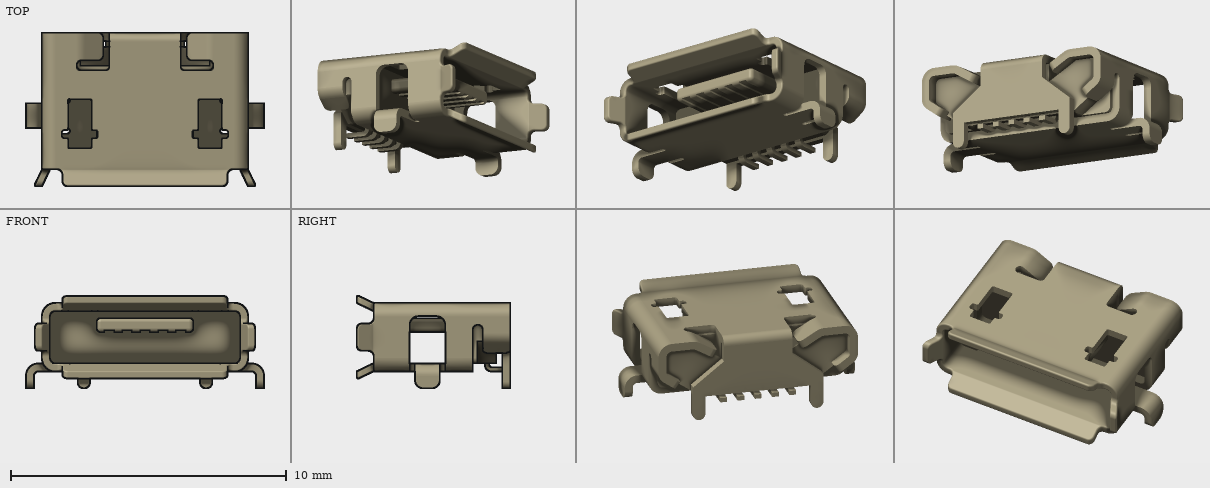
import cadquery as cq
import math


SHELL_WIDTH = 7.5
SHELL_HEIGHT = 2.5
SHEET = 0.3
CORNER_RADIUS = 0.5
HALF_WIDTH = SHELL_WIDTH / 2
MID_HEIGHT = SHELL_HEIGHT / 2
REAR_CUT_DEPTH = 1.365
MOUTH_DEPTH = 4.96
TOTAL_DEPTH = 5.58

LIP_RISE = 0.3
LIP_RADIUS = 0.2
LIP_BEND_RADIUS = 0.1
TOP_LIP_WIDTH = 6.0
SIDE_LIP_WIDTH = 1.0
MOUTH_EDGE_RADIUS = 0.06

ROOF_HOLE_INNER = 1.94
ROOF_HOLE_OUTER = 2.79
ROOF_HOLE_START = 2.41
ROOF_HOLE_END = 4.2
EAR_LENGTH = 0.23
EAR_START = 3.535
EAR_END = 3.83
EAR_RADIUS = 0.1
ROOF_HOLE_RADIUS = 0.06
EAR_ROOT_RADIUS = 0.05
ROOF_NOTCH_INNER = 1.29
ROOF_NOTCH_OUTER = 2.48
ROOF_NOTCH_RADIUS = 0.15

FLAP_DEPTH = 1.0
FLAP_CORNER_RADIUS = 0.2
ROOF_FLAP_ANGLE = 30
ROOF_FLAP_BEND_RADIUS = 0.57
ROOF_FLAP_LENGTH = 0.785
SIDE_FLAP_ANGLE = 55
SIDE_FLAP_BEND_RADIUS = 0.44
SIDE_FLAP_LENGTH = 0.61
SIDE_FLAP_TOP = 1.38
SIDE_SLOT_TOP = 1.7

WINDOW_START = 2.36
WINDOW_END = 3.66
WINDOW_TOP = 2.01
WINDOW_RADIUS = 0.33
LEG_WIDTH = 0.91
LEG_SPAN = 8.65
LEG_BEND_RADIUS = 0.45
LEG_END_RADIUS = 0.3
FOOT_BOTTOM = -0.61
LEG_SLOT_INNER = 2.73

PLATE_BOTTOM = SHEET
PLATE_BEND_RADIUS = 0.31
SHOULDER_HEIGHT = 0.7
SHOULDER_TOP = 1.6
PEG_CENTER = 2.22
PEG_WIDTH = 0.46

HOUSING_REAR = 0.51
HOUSING_FRONT = 2.0
FLAP_POCKET_DEPTH = 1.2
ROOF_POCKET_OUTER = 2.35
ROOF_POCKET_DROP = 0.05
SIDE_POCKET_TOP = 1.11
TONGUE_WIDTH = 3.51
TONGUE_BOTTOM = 1.43
TONGUE_TOP = 1.946
TONGUE_FRONT = 4.2
TONGUE_RADIUS = 0.15

CONTACT_COUNT = 5
CONTACT_PITCH = 0.65
GROOVE_WIDTH = 0.35
GROOVE_HEIGHT = 0.07
TAIL_WIDTH = 0.25
TAIL_SHEET = 0.165
TAIL_BEND_RADIUS = 0.25
TAIL_FRONT = 0.93

FLAP_LEAD = 0.1
CLEARANCE = 0.5
OVERLAP = 0.1
FULL_ROUND_GAP = 0.001


def block(x0, x1, depth0, depth1, z0, z1):
    """Box between two X, two depth and two Z positions."""
    size = (x1 - x0, depth1 - depth0, z1 - z0)
    return cq.Workplane("XY").box(*size, centered=False).translate((x0, -depth1, z0))


def extrude_along_depth(profile, depth0, depth1):
    """Extrude an XZ profile between two depths."""
    return profile.extrude(depth1 - depth0).translate((0, -depth0, 0))


def on_both_sides(solid):
    """The solid together with its mirror image across X = 0."""
    return solid.union(solid.mirror("YZ"))


def bent_strip(root, along, outward, sheet, radius, angle, length, lead, plane="XZ"):
    """Profile of a strip with one bend.

    The strip's outer surface starts at root, heads in direction `along` for
    `lead`, turns away from `outward` through `angle` at outer `radius` and
    continues straight for `length`. Points are in the axes of `plane`.
    """
    sine = math.sin(math.radians(angle))
    cosine = math.cos(math.radians(angle))
    half_sine = math.sin(math.radians(angle / 2))
    half_cosine = math.cos(math.radians(angle / 2))
    inner = radius - sheet

    def place(u, v):
        return (root[0] + u * along[0] + v * outward[0], root[1] + u * along[1] + v * outward[1])

    def on_bend(arc_radius, s, c, extra=0.0):
        return place(lead + arc_radius * s + extra * cosine, arc_radius * c - radius - extra * sine)

    return (
        cq.Workplane(plane)
        .moveTo(*place(0, 0))
        .lineTo(*place(lead, 0))
        .threePointArc(on_bend(radius, half_sine, half_cosine), on_bend(radius, sine, cosine))
        .lineTo(*on_bend(radius, sine, cosine, length))
        .lineTo(*on_bend(inner, sine, cosine, length))
        .lineTo(*on_bend(inner, sine, cosine))
        .threePointArc(on_bend(inner, half_sine, half_cosine), place(lead, -sheet))
        .lineTo(*place(0, -sheet))
        .close()
    )


def round_free_end(strip, direction, radius):
    """Round the two corners of the strip end that faces `direction`."""
    end = strip.faces(cq.DirectionMinMaxSelector(cq.Vector(*direction), True))
    return end.edges("not |Y").fillet(radius)


def make_tube():
    def section(inset):
        return (
            cq.Workplane("XZ")
            .center(0, MID_HEIGHT)
            .rect(SHELL_WIDTH - 2 * inset, SHELL_HEIGHT - 2 * inset)
            .extrude(MOUTH_DEPTH)
            .edges("|Y")
            .fillet(CORNER_RADIUS - inset)
        )

    return section(0).cut(section(SHEET))


def make_lip(width, surface):
    """Lip flaring out in +Z from a wall whose outer face is at z = surface."""
    half = width / 2
    quarter = math.sqrt(0.5)
    root_end = -MOUTH_DEPTH - LIP_RADIUS
    tip_start = LIP_RADIUS - TOTAL_DEPTH
    outline = (
        cq.Workplane("XY")
        .moveTo(half + LIP_RADIUS, -MOUTH_DEPTH)
        .threePointArc(
            (half + LIP_RADIUS * (1 - quarter), root_end + LIP_RADIUS * quarter),
            (half, root_end),
        )
        .lineTo(half, tip_start)
        .threePointArc(
            (half - LIP_RADIUS * (1 - quarter), tip_start - LIP_RADIUS * quarter),
            (half - LIP_RADIUS, -TOTAL_DEPTH),
        )
        .lineTo(0, -TOTAL_DEPTH)
        .lineTo(0, -MOUTH_DEPTH)
        .close()
        .extrude(surface + 1)
    )
    slope = math.atan2(LIP_RISE, TOTAL_DEPTH - MOUTH_DEPTH)
    bend_end = -MOUTH_DEPTH - LIP_BEND_RADIUS * math.sin(slope)
    bend_middle = -MOUTH_DEPTH - LIP_BEND_RADIUS * math.sin(slope / 2)
    bend_rise = LIP_BEND_RADIUS * (1 - math.cos(slope))
    middle_rise = LIP_BEND_RADIUS * (1 - math.cos(slope / 2))
    tip_rise = bend_rise + (bend_end + TOTAL_DEPTH) * math.tan(slope)
    inside = surface - SHEET
    sheet = (
        cq.Workplane("YZ")
        .moveTo(-MOUTH_DEPTH, surface)
        .threePointArc((bend_middle, surface + middle_rise), (bend_end, surface + bend_rise))
        .lineTo(-TOTAL_DEPTH, surface + tip_rise)
        .lineTo(-TOTAL_DEPTH, inside + tip_rise)
        .lineTo(bend_end, inside + bend_rise)
        .threePointArc((bend_middle, inside + middle_rise), (-MOUTH_DEPTH, inside))
        .close()
        .extrude(width, both=True)
    )
    return on_both_sides(outline).intersect(sheet)


def add_lips(shell):
    top = make_lip(TOP_LIP_WIDTH, MID_HEIGHT)
    side = make_lip(SIDE_LIP_WIDTH, HALF_WIDTH)
    lips = [
        top,
        top.rotate((0, 0, 0), (0, 1, 0), 180),
        side.rotate((0, 0, 0), (0, 1, 0), 90),
        side.rotate((0, 0, 0), (0, 1, 0), -90),
    ]
    for lip in lips:
        shell = shell.union(lip.translate((0, 0, MID_HEIGHT)))
    return shell


def round_mouth(shell):
    """Round the outer and inner rims of the mouth.

    The edges along the lip flanks and the corner arcs of the tube pick out
    both rims; the straight edges between them follow by tangency.
    """
    margin = 0.01
    rim_edges = []
    for edge in shell.edges().vals():
        box = edge.BoundingBox()
        at_mouth = box.ymax < margin - MOUTH_DEPTH
        if at_mouth and (box.ylen > margin or edge.geomType() == "CIRCLE"):
            rim_edges.append(edge)
    return shell.newObject(rim_edges).fillet(MOUTH_EDGE_RADIUS)


def cut_roof_holes(shell):
    ear_tip_inner = ROOF_HOLE_INNER - EAR_LENGTH
    ear_tip_outer = ROOF_HOLE_OUTER + EAR_LENGTH
    z_range = (SHELL_HEIGHT - SHEET - OVERLAP, SHELL_HEIGHT + OVERLAP)
    hole = block(ROOF_HOLE_INNER, ROOF_HOLE_OUTER, ROOF_HOLE_START, ROOF_HOLE_END, *z_range)
    hole = hole.edges("|Z").fillet(ROOF_HOLE_RADIUS)
    ears = block(ear_tip_inner, ear_tip_outer, EAR_START, EAR_END, *z_range)
    ears = ears.edges("|Z").fillet(EAR_RADIUS)
    hole = hole.union(ears)
    margin = 0.02
    ear_roots = cq.selectors.BoxSelector(
        (ROOF_HOLE_INNER - margin, -EAR_END - margin, 0),
        (ROOF_HOLE_OUTER + margin, -EAR_START + margin, SHELL_HEIGHT + margin),
    )
    hole = hole.edges("|Z").edges(ear_roots).fillet(EAR_ROOT_RADIUS)
    return shell.cut(on_both_sides(hole))


def cut_roof_notches(shell):
    notch = block(
        ROOF_NOTCH_INNER, ROOF_NOTCH_OUTER, -CLEARANCE, REAR_CUT_DEPTH,
        SHELL_HEIGHT - SHEET - OVERLAP, SHELL_HEIGHT + OVERLAP,
    )
    return shell.cut(on_both_sides(notch.edges("|Z and <Y").fillet(ROOF_NOTCH_RADIUS)))


def add_rear_plate(shell):
    """Replace the rear strip of the roof by one that bends into the plate."""
    strip = block(
        -ROOF_NOTCH_INNER, ROOF_NOTCH_INNER, 0, FLAP_DEPTH, SHELL_HEIGHT - SHEET, SHELL_HEIGHT
    )
    plate = make_rear_plate().union(strip)
    plate = plate.edges("|X and >Y and >Z").fillet(PLATE_BEND_RADIUS)
    return shell.cut(strip).union(plate)


def cut_rear_floor(shell):
    """Remove the floor and lower walls at the rear, and the slot ahead of the side flaps."""
    opening = block(
        -HALF_WIDTH - CLEARANCE, HALF_WIDTH + CLEARANCE, -CLEARANCE, REAR_CUT_DEPTH,
        -CLEARANCE, SIDE_FLAP_TOP,
    )
    slot = block(
        -HALF_WIDTH - CLEARANCE, HALF_WIDTH + CLEARANCE, FLAP_DEPTH, REAR_CUT_DEPTH,
        0, SIDE_SLOT_TOP,
    )
    slot_radius = (REAR_CUT_DEPTH - FLAP_DEPTH) / 2 - FULL_ROUND_GAP
    slot = slot.edges("|X and >Z").fillet(slot_radius)
    return shell.cut(opening).cut(slot)


def roof_flap_strip(depth0, depth1):
    profile = bent_strip(
        (ROOF_NOTCH_OUTER + FLAP_LEAD, SHELL_HEIGHT), (-1, 0), (0, 1), SHEET,
        ROOF_FLAP_BEND_RADIUS, ROOF_FLAP_ANGLE, ROOF_FLAP_LENGTH, FLAP_LEAD,
    )
    return extrude_along_depth(profile, depth0, depth1)


def add_flaps(shell):
    roof_angle = math.radians(ROOF_FLAP_ANGLE)
    roof_flap = round_free_end(
        roof_flap_strip(0, FLAP_DEPTH),
        (-math.cos(roof_angle), 0, -math.sin(roof_angle)),
        FLAP_CORNER_RADIUS,
    )
    relief = block(0, ROOF_NOTCH_OUTER, FLAP_DEPTH, REAR_CUT_DEPTH, 0, SHELL_HEIGHT + CLEARANCE)
    relief_radius = (REAR_CUT_DEPTH - FLAP_DEPTH) / 2 - FULL_ROUND_GAP
    relief = relief.edges("|Z and >X").fillet(relief_radius)
    flap_root = roof_flap_strip(FLAP_DEPTH, REAR_CUT_DEPTH).cut(relief)
    roof_flap = roof_flap.union(flap_root)

    side_flap = extrude_along_depth(
        bent_strip(
            (HALF_WIDTH, SIDE_FLAP_TOP + FLAP_LEAD), (0, -1), (1, 0), SHEET,
            SIDE_FLAP_BEND_RADIUS, SIDE_FLAP_ANGLE, SIDE_FLAP_LENGTH, FLAP_LEAD,
        ),
        0, FLAP_DEPTH,
    )
    side_angle = math.radians(SIDE_FLAP_ANGLE)
    side_flap = round_free_end(
        side_flap, (-math.sin(side_angle), 0, -math.cos(side_angle)), FLAP_CORNER_RADIUS
    )
    return shell.union(on_both_sides(roof_flap)).union(on_both_sides(side_flap))


def add_legs(shell):
    """Open the side windows and bend a solder leg out of each."""
    window = block(
        HALF_WIDTH - CORNER_RADIUS, HALF_WIDTH + CLEARANCE, WINDOW_START, WINDOW_END,
        -CLEARANCE, WINDOW_TOP,
    )
    window = window.edges("|X and >Z").fillet(WINDOW_RADIUS)
    shell = shell.cut(on_both_sides(window))

    slot_width = (WINDOW_END - WINDOW_START - LEG_WIDTH) / 2
    for start in (WINDOW_START, WINDOW_END - slot_width):
        slot = block(LEG_SLOT_INNER, HALF_WIDTH, start, start + slot_width, -OVERLAP, SHEET)
        slot = slot.edges("|Z and <X").fillet(slot_width / 2 - FULL_ROUND_GAP)
        shell = shell.cut(on_both_sides(slot))

    leg_start = WINDOW_START + slot_width
    lead = LEG_SPAN / 2 - LEG_BEND_RADIUS - LEG_SLOT_INNER
    leg = extrude_along_depth(
        bent_strip(
            (LEG_SLOT_INNER, SHEET), (1, 0), (0, 1), SHEET,
            LEG_BEND_RADIUS, 90, SHEET - LEG_BEND_RADIUS - FOOT_BOTTOM, lead,
        ),
        leg_start, leg_start + LEG_WIDTH,
    )
    leg = round_free_end(leg, (0, 0, -1), LEG_END_RADIUS)
    return shell.union(on_both_sides(leg))


def make_rear_plate():
    peg_radius = PEG_WIDTH / 2
    peg_outer = PEG_CENTER + peg_radius
    peg_inner = PEG_CENTER - peg_radius
    half = (
        cq.Workplane("XZ")
        .moveTo(0, SHELL_HEIGHT)
        .lineTo(ROOF_NOTCH_INNER, SHELL_HEIGHT)
        .lineTo(ROOF_NOTCH_INNER, SHOULDER_TOP)
        .lineTo(peg_outer, SHOULDER_HEIGHT)
        .lineTo(peg_outer, FOOT_BOTTOM + peg_radius)
        .threePointArc((PEG_CENTER, FOOT_BOTTOM), (peg_inner, FOOT_BOTTOM + peg_radius))
        .lineTo(peg_inner, PLATE_BOTTOM)
        .lineTo(0, PLATE_BOTTOM)
        .close()
    )
    return on_both_sides(half.extrude(SHEET))


def make_housing():
    body = (
        cq.Workplane("XZ")
        .center(0, MID_HEIGHT)
        .rect(SHELL_WIDTH - 2 * SHEET, SHELL_HEIGHT - 2 * SHEET)
        .extrude(HOUSING_FRONT - HOUSING_REAR)
        .edges("|Y")
        .fillet(CORNER_RADIUS - SHEET)
        .translate((0, -HOUSING_REAR, 0))
    )

    roof_slope = math.tan(math.radians(ROOF_FLAP_ANGLE))
    pocket_run = ROOF_POCKET_OUTER - ROOF_NOTCH_INNER
    pocket_high = SHELL_HEIGHT - SHEET - ROOF_POCKET_DROP
    roof_pocket = cq.Workplane("XZ").polyline([
        (ROOF_NOTCH_INNER, SHELL_HEIGHT),
        (ROOF_POCKET_OUTER, SHELL_HEIGHT),
        (ROOF_POCKET_OUTER, pocket_high),
        (ROOF_NOTCH_INNER, pocket_high - pocket_run * roof_slope),
    ]).close()

    side_slope = math.tan(math.radians(SIDE_FLAP_ANGLE))
    inner_side = HALF_WIDTH - SHEET
    side_pocket = cq.Workplane("XZ").polyline([
        (inner_side, SIDE_POCKET_TOP),
        (inner_side, 0),
        (inner_side - SIDE_POCKET_TOP * side_slope, 0),
    ]).close()

    for pocket in (roof_pocket, side_pocket):
        body = body.cut(on_both_sides(extrude_along_depth(pocket, 0, FLAP_POCKET_DEPTH)))
    return body


def contact_positions():
    middle = (CONTACT_COUNT - 1) / 2
    return [(index - middle) * CONTACT_PITCH for index in range(CONTACT_COUNT)]


def make_tongue():
    half = TONGUE_WIDTH / 2
    root = HOUSING_FRONT - OVERLAP
    tongue = block(-half, half, root, TONGUE_FRONT, TONGUE_BOTTOM, TONGUE_TOP)
    tongue = tongue.edges("|Y or <Y").fillet(TONGUE_RADIUS)
    for x in contact_positions():
        tongue = tongue.cut(block(
            x - GROOVE_WIDTH / 2, x + GROOVE_WIDTH / 2, HOUSING_FRONT, TOTAL_DEPTH,
            TONGUE_BOTTOM, TONGUE_BOTTOM + GROOVE_HEIGHT,
        ))
    return tongue


def make_tails():
    """Contact tails leaving the housing floor and running to the rear."""
    lead = TAIL_FRONT - TAIL_BEND_RADIUS
    profile = bent_strip(
        (0, 0), (-1, 0), (0, -1), TAIL_SHEET, TAIL_BEND_RADIUS, 90,
        SHEET + OVERLAP - TAIL_BEND_RADIUS, lead, plane="YZ",
    )
    tail = profile.extrude(TAIL_WIDTH / 2, both=True)
    tails = cq.Workplane("XY")
    for x in contact_positions():
        tails = tails.union(tail.translate((x, 0, 0)))
    return tails


shell = round_mouth(add_lips(make_tube()))
shell = cut_roof_holes(shell)
shell = cut_roof_notches(shell)
shell = cut_rear_floor(shell)
shell = add_flaps(shell)
shell = add_legs(shell)
shell = add_rear_plate(shell)

result = shell.union(make_housing()).union(make_tongue()).union(make_tails())